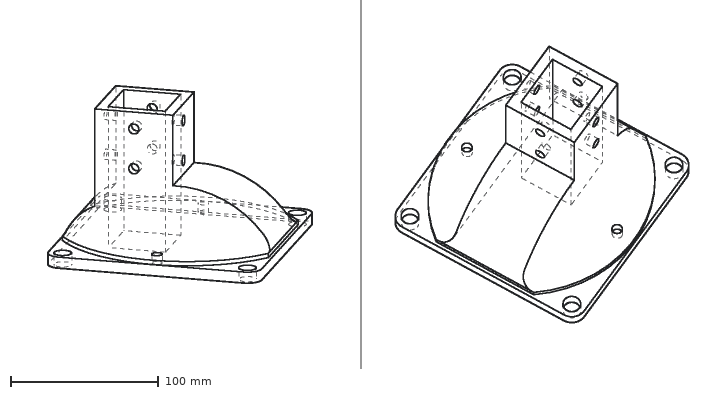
import cadquery as cq
import math

plate_size = 150.0
plate_thickness = 8.0
plate_corner_radius = 10.0
bolt_offset = 65.0
bolt_diameter = 12.0

pad_length = 145.0
pad_half_width = 74.5
pad_toe_half_width = 39.2
pad_thickness = 3.0
pad_top = plate_thickness + pad_thickness
pad_hole_offset = 60.3
pin_diameter = 7.0
pad_hole_depth = 6.0
drill_point_angle = 118

total_height = 100.0
tower_size = 55.0
socket_size = 40.0
tower_x = -25.0
tower_left = tower_x - tower_size / 2
tower_right = tower_x + tower_size / 2
pin_depths = (12.0, 40.4)

flare_radius = 10.0
body_half_width = tower_size / 2
flare_half_width = body_half_width + flare_radius
heel_height = 30.9
heel_middle = (-64.5, 23.0)
crest_height = 50.0
toe_middle = (42.0, 40.8)


def make_plate():
    plate = cq.Workplane("XY").box(plate_size, plate_size, plate_thickness, centered=(True, True, False))
    return plate.edges("|Z").fillet(plate_corner_radius)


def make_pad():
    end_x = pad_length / 2
    return (
        cq.Workplane("XY", origin=(0, 0, plate_thickness))
        .moveTo(-end_x, -flare_half_width)
        .threePointArc((0, -pad_half_width), (end_x, -pad_toe_half_width))
        .lineTo(end_x, pad_toe_half_width)
        .threePointArc((0, pad_half_width), (-end_x, flare_half_width))
        .close()
        .extrude(pad_thickness)
    )


def make_body():
    """Intersect the curved side profile with the flared cross-section."""
    end_x = pad_length / 2
    side_profile = (
        cq.Workplane("XZ")
        .moveTo(-end_x, pad_top)
        .threePointArc(heel_middle, (tower_left, heel_height))
        .lineTo(tower_left, crest_height)
        .lineTo(tower_right, crest_height)
        .threePointArc(toe_middle, (end_x, pad_top))
        .close()
        .extrude(flare_half_width, both=True)
    )
    flare_top = pad_top + flare_radius
    cross_section = (
        cq.Workplane("YZ", origin=(-end_x, 0, 0))
        .moveTo(-flare_half_width, pad_top)
        .radiusArc((-body_half_width, flare_top), -flare_radius)
        .lineTo(-body_half_width, total_height)
        .lineTo(body_half_width, total_height)
        .lineTo(body_half_width, flare_top)
        .radiusArc((flare_half_width, pad_top), -flare_radius)
        .close()
        .extrude(pad_length)
    )
    return side_profile.intersect(cross_section)


def square_column(size, bottom):
    return (
        cq.Workplane("XY", origin=(tower_x, 0, bottom))
        .rect(size, size)
        .extrude(total_height - bottom)
    )


def make_pin_holes():
    """Cross holes through both pairs of tower walls."""
    points = [(0, total_height - depth) for depth in pin_depths]
    holes = cq.Workplane("XZ", origin=(tower_x, 0, 0))
    holes = holes.pushPoints(points).circle(pin_diameter / 2).extrude(tower_size, both=True)
    crossing = cq.Workplane("YZ", origin=(tower_x, 0, 0))
    crossing = crossing.pushPoints(points).circle(pin_diameter / 2).extrude(tower_size, both=True)
    return holes.union(crossing)


def make_bolt_holes():
    return (
        cq.Workplane("XY")
        .rect(2 * bolt_offset, 2 * bolt_offset, forConstruction=True)
        .vertices()
        .circle(bolt_diameter / 2)
        .extrude(plate_thickness)
    )


def make_pad_holes():
    """Blind holes from the top of the pad, ending in a conical drill point."""
    radius = pin_diameter / 2
    point_depth = radius / math.tan(math.radians(drill_point_angle / 2))
    hole = (
        cq.Workplane("XZ")
        .moveTo(0, pad_top)
        .lineTo(radius, pad_top)
        .lineTo(radius, pad_top - pad_hole_depth)
        .lineTo(0, pad_top - pad_hole_depth - point_depth)
        .close()
        .revolve(360, (0, 0), (0, 1))
    )
    front_hole = hole.translate((0, -pad_hole_offset, 0))
    return front_hole.union(hole.translate((0, pad_hole_offset, 0)))



result = make_plate().union(make_pad()).union(make_body()).union(square_column(tower_size, pad_top))
result = result.cut(square_column(socket_size, 0)).cut(make_pin_holes())
result = result.cut(make_bolt_holes()).cut(make_pad_holes())